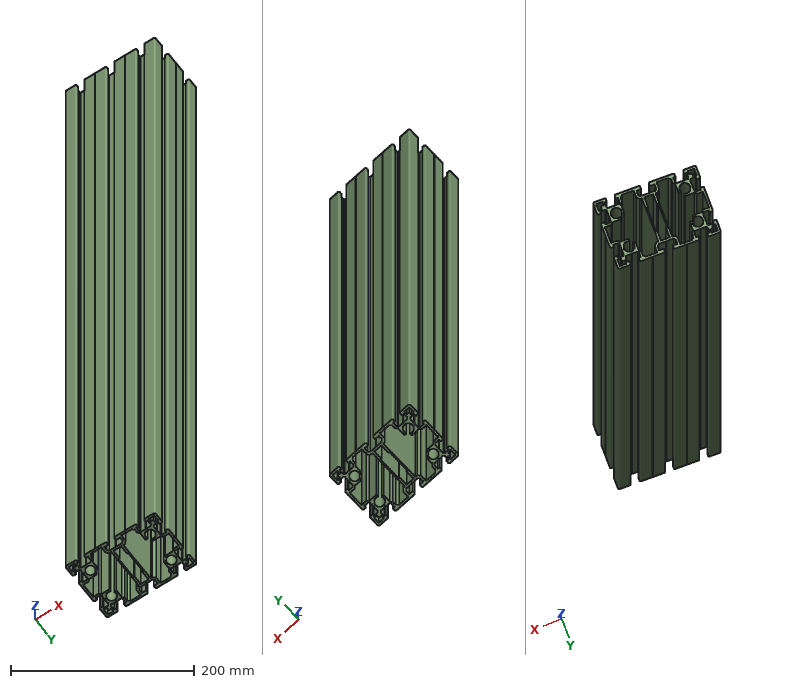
import cadquery as cq

MODULE = 40.0
MODULES_X = 3
MODULES_Y = 2
HALF_X = MODULES_X * MODULE / 2
HALF_Y = MODULES_Y * MODULE / 2
CORE_X = HALF_X - MODULE / 2
CORE_Y = HALF_Y - MODULE / 2
LENGTH = 1000.0
OVERHANG = 0.1

WALL = 2.85
CORNER_RADIUS = 2.05
MARK_HALF_WIDTH = 0.5
MARK_DEPTH = 0.2
CORNER_HOLLOW = 7.5
HOLLOW_ARM = 4.0

MOUTH_HALF = 5.1
MOUTH_RADIUS = 1.5
LIP = 4.3
SLOT_DEPTH = 11.25
CORNER_SLOT_HALF = 7.7
CORNER_SLOT_TAPER = 1.1
CORNER_WALL_TAPER = 4.0
MIDDLE_SLOT_HALF = 10.55
MIDDLE_SLOT_TAPER = 2.0
MIDDLE_WALL_TAPER = 3.0

CORE_HALF = 8.3
BORE_RADIUS = 6.0
CORE_GAP = 2.7
PAD_SIZE = 0.7
PAD_NEAR = 1.35
PAD_FAR = 6.45

WEB_OUTER = 8.0
WEB_THICK = WALL
WEB_THIN = 1.5
WEB_THIN_HALF = 14.25
GUSSET = 2.65


def prism(outline):
    """Full-length prism of a closed polygon."""
    return cq.Workplane("XY").polyline(outline).close().extrude(LENGTH)


def box(x0, x1, y0, y1, bottom=0.0):
    """Upright block between two opposite corners, up to the upper end."""
    outline = [(x0, y0), (x1, y0), (x1, y1), (x0, y1)]
    return cq.Workplane("XY", origin=(0, 0, bottom)).polyline(outline).close().extrude(LENGTH - bottom)


def on_y_face(shape, x):
    """Move a slot tool, drawn at the origin and entering along -Y, to the +Y face."""
    return shape.translate((x, HALF_Y, 0))


def on_x_face(shape, y):
    """Move a slot tool, drawn at the origin and entering along -Y, to the +X face."""
    return shape.rotate((0, 0, 0), (0, 0, 1), -90).translate((HALF_X, y, 0))


def trapezoid(half, taper, top, bottom):
    """Prism between two depths with 45 degree lower corners."""
    return prism([
        (-half, -top),
        (-half, taper - bottom),
        (taper - half, -bottom),
        (half - taper, -bottom),
        (half, taper - bottom),
        (half, -top),
    ])


def slot_wall(half, taper):
    """Solid wall that surrounds a slot."""
    return trapezoid(half + WALL, taper, 0, SLOT_DEPTH + WALL)


def v_mark(depth):
    """V-shaped marking line cut into a surface at the given depth."""
    return prism([(-MARK_HALF_WIDTH, -depth), (MARK_HALF_WIDTH, -depth), (0, -depth - MARK_DEPTH)])


def slot(half, taper):
    """T-slot with rounded mouth edges and a marked floor."""
    flare = MOUTH_HALF + MOUTH_RADIUS
    mouth = (
        cq.Workplane("XY")
        .moveTo(-flare, 0)
        .radiusArc((-MOUTH_HALF, -MOUTH_RADIUS), MOUTH_RADIUS)
        .lineTo(-MOUTH_HALF, -LIP)
        .lineTo(MOUTH_HALF, -LIP)
        .lineTo(MOUTH_HALF, -MOUTH_RADIUS)
        .radiusArc((flare, 0), MOUTH_RADIUS)
        .close()
        .extrude(LENGTH)
    )
    return mouth.union(trapezoid(half, taper, LIP, SLOT_DEPTH)).union(v_mark(SLOT_DEPTH))


def make_chamber():
    """Hollow space of the quadrant."""
    inner_x = HALF_X - WALL
    inner_y = HALF_Y - WALL
    corner_wall = slot_wall(CORNER_SLOT_HALF, CORNER_WALL_TAPER)
    slot_side = CORE_X - CORNER_SLOT_HALF - WALL
    gusset = [(slot_side - GUSSET, inner_y), (slot_side, inner_y), (slot_side, inner_y - GUSSET)]
    return (
        box(0, inner_x, 0, inner_y)
        .cut(on_y_face(slot_wall(MIDDLE_SLOT_HALF, MIDDLE_WALL_TAPER), 0))
        .cut(on_y_face(corner_wall, CORE_X))
        .cut(on_x_face(corner_wall, CORE_Y))
        .cut(box(CORE_X - CORE_HALF, HALF_X, CORE_Y - CORE_HALF, HALF_Y))
        .cut(prism(gusset))
        .cut(box(WEB_OUTER - WEB_THICK, WEB_OUTER, 0, HALF_Y))
        .union(box(0, WEB_OUTER - WEB_THIN, 0, WEB_THIN_HALF))
    )


def make_corner_hollow():
    """L-shaped hollow behind the outer corner."""
    x = HALF_X - WALL
    y = HALF_Y - WALL
    along_x = box(x - CORNER_HOLLOW, x, y - HOLLOW_ARM, y)
    return along_x.union(box(x - HOLLOW_ARM, x, y - CORNER_HOLLOW, y))


def make_bore():
    """Screw bore with its opening toward the chamber."""
    opening = box(CORE_X - CORE_HALF, CORE_X - CORE_GAP, CORE_Y - CORE_HALF, CORE_Y - CORE_GAP)
    return cq.Workplane("XY").center(CORE_X, CORE_Y).circle(BORE_RADIUS).extrude(LENGTH).union(opening)


def make_overhangs():
    """Thin web and small bore pads, which stand below the lower end."""
    parts = [box(WEB_OUTER - WEB_THIN, WEB_OUTER, 0, WEB_THIN_HALF, -OVERHANG)]
    half = PAD_SIZE / 2
    for u, v in ((PAD_NEAR, PAD_FAR), (PAD_FAR, PAD_NEAR)):
        x = CORE_X - u
        y = CORE_Y - v
        parts.append(box(x - half, x + half, y - half, y + half, -OVERHANG))
    return parts


def make_quadrant():
    """The +X +Y quarter of the profile."""
    corner_slot = slot(CORNER_SLOT_HALF, CORNER_SLOT_TAPER)
    quadrant = (
        box(0, HALF_X, 0, HALF_Y)
        .edges("|Z and >X and >Y")
        .fillet(CORNER_RADIUS)
        .cut(make_chamber())
        .cut(on_y_face(slot(MIDDLE_SLOT_HALF, MIDDLE_SLOT_TAPER), 0))
        .cut(on_y_face(corner_slot, CORE_X))
        .cut(on_x_face(corner_slot, CORE_Y))
        .cut(on_y_face(v_mark(0), MODULE / 2))
        .cut(on_x_face(v_mark(0), 0))
        .cut(make_corner_hollow())
        .cut(make_bore())
    )
    for part in make_overhangs():
        quadrant = quadrant.union(part)
    return quadrant


quadrant = make_quadrant()
half = quadrant.union(quadrant.mirror("YZ"))
result = half.union(half.mirror("XZ")).clean()